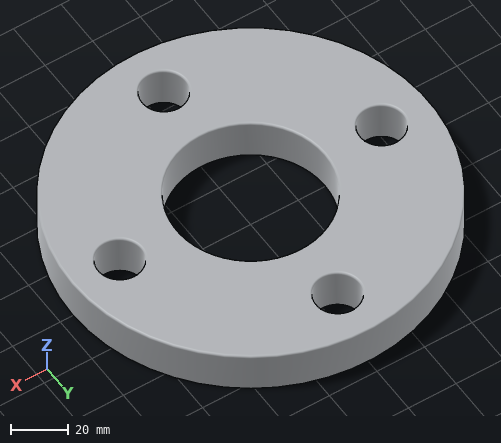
import cadquery as cq

outer_diameter = 150.0
thickness = 18.0
bore_diameter = 62.0
bolt_circle_diameter = 110.0
bolt_hole_diameter = 18.0
bolt_hole_count = 4
edge_radius = 1.0


def make_disc():
    """Solid disc standing on the XY plane, centred on the Z axis."""
    return cq.Workplane("XY").circle(outer_diameter / 2).extrude(thickness)


def cut_bore(body):
    """Central through bore."""
    return body.faces(">Z").workplane().hole(bore_diameter)


def cut_bolt_holes(body):
    """Through holes evenly spaced on the bolt circle, the first on +X."""
    return (
        body.faces(">Z")
        .workplane()
        .polarArray(bolt_circle_diameter / 2, 0, 360, bolt_hole_count)
        .hole(bolt_hole_diameter)
    )


def round_edges(body):
    """Round the rim, bore and bolt holes on both flat faces."""
    return body.faces("<Z or >Z").edges().fillet(edge_radius)


disc = make_disc()
ring = cut_bore(disc)
drilled_ring = cut_bolt_holes(ring)
result = round_edges(drilled_ring)